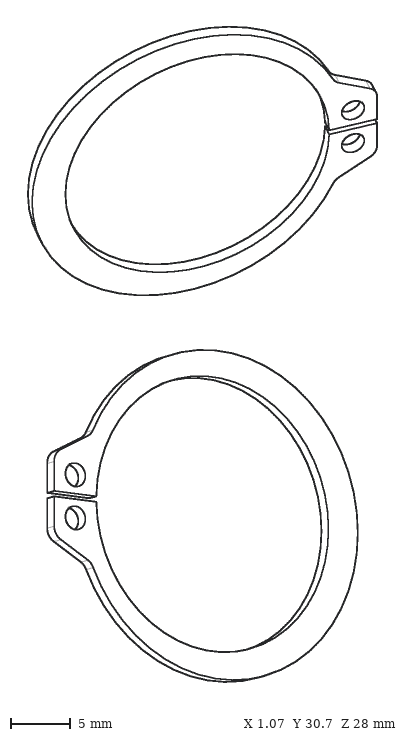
import cadquery as cq
import math

thickness = 1.07
overall_length = 30.68
outer_radius = 14.02
inner_radius = 11.72
inner_offset = 0.67
gap_width = 0.45
lug_end = overall_length - outer_radius

shoulder_root_z = 5.5
shoulder_root_y = math.sqrt(outer_radius**2 - shoulder_root_z**2)
shoulder_tip_z = 3.5
lug_tip_fillet = 1.23
lug_root_fillet = 1.23

plier_hole_diameter = 2.0
plier_hole_y = 14.5
plier_hole_z = 1.85


def extrude_outline(sketch):
    return sketch.extrude(thickness / 2, both=True)


def outer_body():
    """Disc and both lugs, as one outline with rounded shoulders."""
    body = extrude_outline(
        cq.Workplane("YZ")
        .moveTo(shoulder_root_y, -shoulder_root_z)
        .lineTo(lug_end, -shoulder_tip_z)
        .lineTo(lug_end, shoulder_tip_z)
        .lineTo(shoulder_root_y, shoulder_root_z)
        .threePointArc((-outer_radius, 0), (shoulder_root_y, -shoulder_root_z))
        .close()
    )
    tip_edges = body.edges("|X").edges(">Y")
    body = tip_edges.fillet(lug_tip_fillet)
    root_edges = body.edges("|X").edges("<Y")
    return root_edges.fillet(lug_root_fillet)


def bore():
    return extrude_outline(cq.Workplane("YZ").center(inner_offset, 0).circle(inner_radius))


def gap():
    """Slot between the lugs, from the bore centre out through the end face."""
    gap_length = lug_end - inner_offset
    slot_centre = inner_offset + gap_length / 2
    return extrude_outline(cq.Workplane("YZ").center(slot_centre, 0).rect(gap_length, gap_width))


def plier_holes():
    centres = [(plier_hole_y, side * plier_hole_z) for side in (-1, 1)]
    return extrude_outline(
        cq.Workplane("YZ").pushPoints(centres).circle(plier_hole_diameter / 2)
    )


result = outer_body().cut(bore()).cut(gap()).cut(plier_holes())